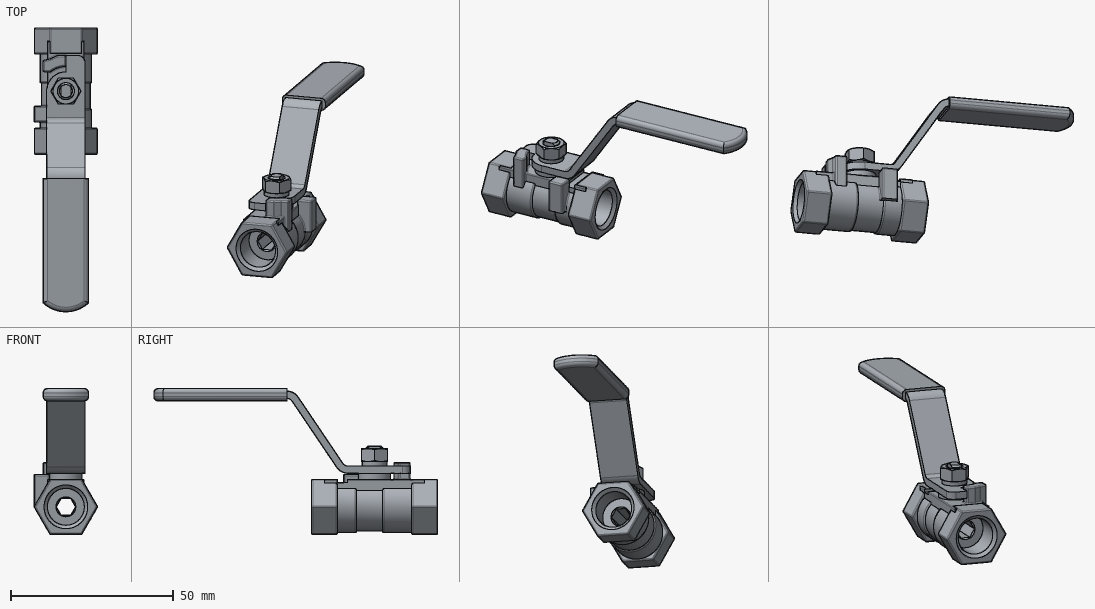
import cadquery as cq
import math


overall_length = 87.5

body_length = 38.9
hex_length = 8.05
hex_flats = 17.0
hex_corner_round = 0.5
hex_edge_round = 0.4
barrel_radius = 8.0
barrel_edge_round = 0.5
neck_radius = 7.5
neck_start, neck_end = -5.5, 2.45

pad_half_width = 5.6
pad_half_length = 15.4
pad_top = 8.4
pad_edge_round = 0.3
pad_groove_rear = -8.3
pad_groove_bottom = 7.4

bore_radius = 5.7
bore_depth = 9.6
mouth_radius = 6.7
socket_flats = 5.2
socket_mouth_radius = 3.1

collar_radius = 5.0
lever_bottom = 10.3
lever_thickness = 2.3
washer_radius = 3.85
washer_thickness = 1.3
nut_flats = 8.05
nut_height = 4.0
nut_corner_chamfer = 0.7
stud_radius = 2.6
stud_height = 0.8
stud_chamfer = 0.6
stud_half_flats = 1.6

lever_width = 11.9
lever_angle = 56.0
lever_bend_radius = 2.0
lever_first_bend = -8.1
lever_stop_reach = 11.0
lever_stop_round = 2.4
strap_depth_in_grip = 8.75

grip_width = 14.0
grip_thickness = 3.85
grip_top = 36.5
grip_start = -26.95
grip_end = body_length / 2 - overall_length
grip_end_bulge = 2.8
grip_round = 1.4

front_stop_outer_x = -9.8
front_stop_inner_x = -5.1
front_stop_y = (-9.5, -4.6)
front_stop_top = 10.0
rear_stop_bottom = 3.8
rear_stop_top = 13.65
rear_stop_outer_x = -7.0
rear_stop_inner_y = 5.95
rear_stop_outer_y = 10.9
stop_round = 0.4
stop_base_round = 0.35

lever_top = lever_bottom + lever_thickness
lever_half_width = lever_width / 2
nut_bottom = lever_top + washer_thickness
nut_top = nut_bottom + nut_height


def box(x_range, y_range, z_range):
    """Axis-aligned block spanning the given ranges."""
    size = [limits[1] - limits[0] for limits in (x_range, y_range, z_range)]
    corner = (x_range[0], y_range[0], z_range[0])
    return cq.Workplane("XY").box(*size, centered=False).translate(corner)


def hexagon_along_y(flats, y_start, length):
    """Hexagonal prism along Y with flats facing up and down."""
    return (
        cq.Workplane("XZ", origin=(0, y_start + length, 0))
        .polygon(6, flats / math.cos(math.pi / 6))
        .extrude(length)
    )


def cylinder_along_y(radius, y_start, length):
    return cq.Workplane("XZ", origin=(0, y_start + length, 0)).circle(radius).extrude(length)


def cylinder_along_z(radius, z_start, z_end):
    return cq.Workplane("XY", origin=(0, 0, z_start)).circle(radius).extrude(z_end - z_start)


def make_body():
    """Barrel with a waist, two hexagonal ends and the flat pad for the stem."""
    half = body_length / 2
    hex_inner = half - hex_length
    body = cylinder_along_y(neck_radius, -hex_inner, 2 * hex_inner)
    front_barrel = cylinder_along_y(barrel_radius, -hex_inner, neck_start + hex_inner)
    rear_barrel = cylinder_along_y(barrel_radius, neck_end, hex_inner - neck_end)
    body = body.union(front_barrel.faces(">Y").edges().fillet(barrel_edge_round))
    body = body.union(rear_barrel.faces("<Y").edges().fillet(barrel_edge_round))

    pad_x = (-pad_half_width, pad_half_width)
    pad = box(pad_x, (-pad_half_length, pad_half_length), (0, pad_top))
    body = body.union(pad.edges(">Z").fillet(pad_edge_round))
    groove_y = (-hex_inner, pad_groove_rear)
    body = body.cut(box((-barrel_radius, barrel_radius), groove_y, (pad_groove_bottom, hex_flats / 2)))

    for y_start in (-half, hex_inner):
        end = hexagon_along_y(hex_flats, y_start, hex_length)
        end = end.edges("|Y").fillet(hex_corner_round)
        body = body.union(end.faces("<Y or >Y").edges().fillet(hex_edge_round))
    return body


def make_front_stop():
    stop = box(
        (front_stop_outer_x, front_stop_inner_x),
        front_stop_y,
        (0, front_stop_top),
    )
    return stop.edges("|Z or >Z").fillet(stop_round)


def make_rear_stop():
    """Post that follows the sweep of the lever around the stem."""
    inner_radius = 7.6
    shoulder_x = -2.7
    outer_knee_y = 10.0
    outer_end_y = 9.45
    knee_x = -math.sqrt(inner_radius**2 - rear_stop_inner_y**2)
    mid_angle = math.radians(105)
    stop = (
        cq.Workplane("XY", origin=(0, 0, rear_stop_bottom))
        .moveTo(rear_stop_outer_x, rear_stop_inner_y)
        .lineTo(knee_x, rear_stop_inner_y)
        .threePointArc(
            (inner_radius * math.cos(mid_angle), inner_radius * math.sin(mid_angle)),
            (0, inner_radius),
        )
        .lineTo(0, rear_stop_outer_y)
        .lineTo(shoulder_x, rear_stop_outer_y)
        .lineTo(knee_x, outer_knee_y)
        .lineTo(rear_stop_outer_x, outer_end_y)
        .close()
        .extrude(rear_stop_top - rear_stop_bottom)
    )
    return stop.edges("|Z or >Z").fillet(stop_round)


def make_stem():
    """Collar, washer, nut and the flatted end of the stem."""
    stem = cylinder_along_z(collar_radius, 0, lever_bottom)
    stem = stem.union(cylinder_along_z(washer_radius, lever_bottom, nut_bottom))

    nut_corners = nut_flats / math.cos(math.pi / 6)
    nut = cq.Workplane("XY", origin=(0, 0, nut_bottom)).polygon(6, nut_corners).extrude(nut_height)
    blank = cylinder_along_z(nut_corners / 2, nut_bottom, nut_top)
    blank = blank.faces("<Z or >Z").edges().chamfer(nut_corner_chamfer / 2, nut_corner_chamfer)
    stem = stem.union(nut.intersect(blank))
    countersink = (
        cq.Workplane("XZ")
        .moveTo(0, nut_top - stud_chamfer)
        .lineTo(stud_radius - stud_chamfer, nut_top - stud_chamfer)
        .lineTo(stud_radius, nut_top)
        .lineTo(0, nut_top)
        .close()
        .revolve(360, (0, 0, 0), (0, 1, 0))
    )
    stem = stem.cut(countersink)

    stud = cylinder_along_z(stud_radius, lever_bottom, nut_top + stud_height)
    stud = stud.faces(">Z").edges().chamfer(stud_chamfer)
    flats = box(
        (-stud_half_flats, stud_half_flats),
        (-stud_radius, stud_radius),
        (lever_bottom, nut_top + stud_height),
    )
    return stem.union(stud.intersect(flats))


def make_lever():
    """Strap bent up from the stem to the grip."""
    grip_middle = grip_top - grip_thickness / 2
    middle_radius = lever_bend_radius + lever_thickness / 2
    angle = math.radians(lever_angle)
    rise = grip_middle - (lever_bottom + lever_thickness / 2)
    first_corner = lever_first_bend - middle_radius * math.tan(angle / 2)
    second_corner = first_corner - rise / math.tan(angle)

    half_thickness = lever_thickness / 2
    corner_shift = half_thickness * math.tan(angle / 2)
    strap_end = grip_start - strap_depth_in_grip
    top = grip_middle + half_thickness
    underside = grip_middle - half_thickness
    strap = (
        cq.Workplane("YZ", origin=(-lever_half_width, 0, 0))
        .moveTo(lever_stop_reach, lever_bottom)
        .lineTo(first_corner - corner_shift, lever_bottom)
        .lineTo(second_corner - corner_shift, underside)
        .lineTo(strap_end, underside)
        .lineTo(strap_end, top)
        .lineTo(second_corner + corner_shift, top)
        .lineTo(first_corner + corner_shift, lever_top)
        .lineTo(lever_stop_reach, lever_top)
        .close()
        .extrude(lever_width)
    )

    outer_radius = lever_bend_radius + lever_thickness
    bends = (
        (first_corner - corner_shift, lever_bottom, outer_radius),
        (first_corner + corner_shift, lever_top, lever_bend_radius),
        (second_corner - corner_shift, underside, lever_bend_radius),
        (second_corner + corner_shift, top, outer_radius),
    )
    for y, z, radius in bends:
        strap = strap.edges(cq.NearestToPointSelector((0, y, z))).fillet(radius)

    strap = strap.edges("|Z and >Y and >X").fillet(lever_stop_round)
    clearance = box((-lever_half_width, 0), (0, lever_stop_reach), (lever_bottom, lever_top))
    clearance = clearance.cut(cylinder_along_z(lever_half_width, lever_bottom, lever_top))
    return strap.cut(clearance)


def make_grip():
    """Rounded sleeve with a bowed end."""
    half = grip_width / 2
    side_end = grip_end + grip_end_bulge
    grip = (
        cq.Workplane("XY", origin=(0, 0, grip_top - grip_thickness))
        .moveTo(-half, grip_start)
        .lineTo(-half, side_end)
        .threePointArc((0, grip_end), (half, side_end))
        .lineTo(half, grip_start)
        .close()
        .extrude(grip_thickness)
    )
    return grip.faces("<Z or >Z").edges("not >Y").fillet(grip_round)


def make_passage():
    """Two chamfered bores joined by a hexagonal socket with a coned mouth."""
    half = body_length / 2
    passage = hexagon_along_y(socket_flats, -half, body_length)
    mouth_depth = mouth_radius - bore_radius
    wall = half - bore_depth
    socket_depth = socket_mouth_radius - socket_flats / 2
    profile = (
        cq.Workplane("XY")
        .moveTo(0, half)
        .lineTo(mouth_radius, half)
        .lineTo(bore_radius, half - mouth_depth)
        .lineTo(bore_radius, wall)
        .lineTo(socket_mouth_radius, wall)
        .lineTo(socket_flats / 2, wall - socket_depth)
        .lineTo(0, wall - socket_depth)
        .close()
    )
    bore = profile.revolve(360, (0, 0, 0), (0, 1, 0))
    return passage.union(bore).union(bore.mirror("XZ"))


def round_stop_bases(casting):
    """Blend the stops into the pad top and the barrel."""
    margin = 0.1
    on_pad_top = cq.selectors.BoxSelector(
        (-pad_half_width, rear_stop_inner_y - margin, pad_top - margin),
        (margin, rear_stop_outer_y + margin, pad_top + margin),
    )
    casting = casting.edges(on_pad_top).fillet(stop_base_round)
    for y in front_stop_y:
        on_barrel = cq.selectors.BoxSelector(
            (-barrel_radius - margin, y - margin, margin),
            (-pad_half_width, y + margin, pad_half_width),
        )
        casting = casting.edges(on_barrel).fillet(stop_base_round)
    return casting


casting = make_body().union(make_front_stop()).union(make_rear_stop())
result = (
    round_stop_bases(casting)
    .union(make_stem())
    .union(make_lever())
    .union(make_grip())
    .cut(make_passage())
)